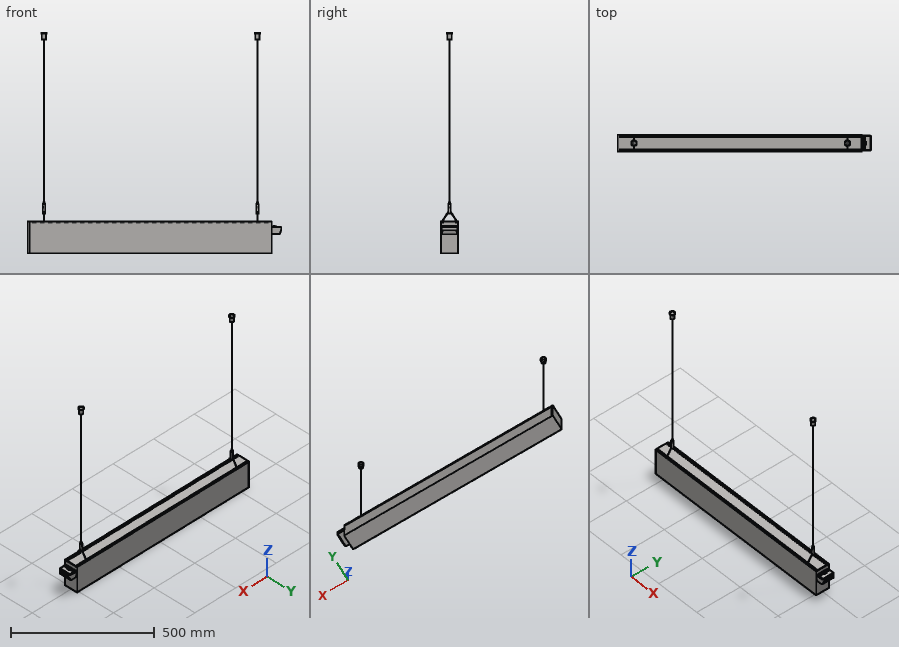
import cadquery as cq
import math

TOTAL_LENGTH = 881.0
TOTAL_HEIGHT = 766.0

HOUSING_LENGTH = 848.0
HOUSING_WIDTH = 60.0
HOUSING_HEIGHT = 111.0
BLANK_CAP_THICKNESS = 6.0
PLUG_CAP_THICKNESS = 3.0
CAP_SETBACK = 0.3

GROOVE_INNER_Y = 21.0
GROOVE_STEP_Y = 24.0
GROOVE_OUTER_Y = 27.0
GROOVE_DEPTH = 4.0
GROOVE_LEDGE_DEPTH = 2.0

CONNECTOR_WIDTH = 54.0
CONNECTOR_BOTTOM_Z = 67.0
CONNECTOR_TOP_Z = 93.0
CONNECTOR_CORNER_RADIUS = 7.0
CONNECTOR_TOP_CHAMFER = 3.1
CONNECTOR_NOSE_SLANT = 5.0
CONNECTOR_NOSE_HEIGHT = 14.0
NECK_START = 3.0
NECK_DEPTH = 1.0
RIDGE_START = 5.0
RIDGE_LENGTH = 6.0
RIDGE_WIDTH = 46.0
RIDGE_HEIGHT = 3.0
RIDGE_CHAMFER = 2.0
LATCH_WIDTH = 11.0
LATCH_REACH = 3.5
LATCH_HEIGHT = 1.3

SUSPENSION_SPACING = 741.5
FIRST_SUSPENSION_X = 56.0
WIRE_DIAMETER = 1.5
CEILING_FLANGE_DIAMETER = 20.0
CEILING_FLANGE_THICKNESS = 3.5
CEILING_CUP_DIAMETER = 16.0
CEILING_CUP_HEIGHT = 24.0
GRIPPER_DIAMETER = 10.0
GRIPPER_BOTTOM_Z = 138.0
GRIPPER_TOP_Z = 173.0
GRIPPER_TOP_CHAMFER = 2.0
GRIPPER_NOZZLE_DIAMETER = 5.0
GRIPPER_NOZZLE_HEIGHT = 5.0
GRIPPER_HOLE_DIAMETER = 3.0
GRIPPER_HOLE_DEPTH = 3.0
GRIPPER_HOLE_Z = 160.0
LEG_TOP_Y = 4.0
LEG_TOP_Z = 143.5
LEG_FOOT_Y = 25.5


def box(x_start, x_end, y_start, y_end, z_start, z_end):
    """Axis-aligned block between the given limits."""
    size = (x_end - x_start, y_end - y_start, z_end - z_start)
    return cq.Workplane("XY").box(*size, centered=False).translate((x_start, y_start, z_start))


def upright_cylinder(x, diameter, z_start, z_end):
    """Vertical cylinder on the centre plane of the lamp."""
    return cq.Workplane("XY", origin=(x, 0, z_start)).circle(diameter / 2).extrude(z_end - z_start)


def housing():
    """Grooved profile closed by a plain cap at each end."""
    half_width = HOUSING_WIDTH / 2
    cap_half_width = half_width - CAP_SETBACK
    profile_end = HOUSING_LENGTH - PLUG_CAP_THICKNESS
    ledge_z = HOUSING_HEIGHT - GROOVE_LEDGE_DEPTH
    floor_z = HOUSING_HEIGHT - GROOVE_DEPTH

    body = box(BLANK_CAP_THICKNESS, profile_end, -half_width, half_width, 0, HOUSING_HEIGHT)
    groove = box(
        BLANK_CAP_THICKNESS, profile_end, GROOVE_INNER_Y, GROOVE_OUTER_Y, ledge_z, HOUSING_HEIGHT
    ).union(box(BLANK_CAP_THICKNESS, profile_end, GROOVE_INNER_Y, GROOVE_STEP_Y, floor_z, ledge_z))
    body = body.cut(groove).cut(groove.mirror("XZ"))

    blank_cap = box(0, BLANK_CAP_THICKNESS, -cap_half_width, cap_half_width, 0, HOUSING_HEIGHT)
    plug_cap = box(
        profile_end, HOUSING_LENGTH, -half_width, half_width, 0, HOUSING_HEIGHT - CAP_SETBACK
    )
    return body.union(blank_cap).union(plug_cap)


def connector():
    """Plug body with a slanted nose; its top carries a shallow neck groove, a ridge and a latch tab."""
    nose_x = TOTAL_LENGTH - CONNECTOR_NOSE_SLANT
    side_outline = [
        (HOUSING_LENGTH, CONNECTOR_BOTTOM_Z),
        (nose_x, CONNECTOR_BOTTOM_Z),
        (TOTAL_LENGTH, CONNECTOR_BOTTOM_Z + CONNECTOR_NOSE_HEIGHT),
        (TOTAL_LENGTH, CONNECTOR_TOP_Z),
        (HOUSING_LENGTH, CONNECTOR_TOP_Z),
    ]
    slanted = cq.Workplane("XZ").polyline(side_outline).close().extrude(CONNECTOR_WIDTH / 2, both=True)
    rounded = (
        box(
            HOUSING_LENGTH, TOTAL_LENGTH, -CONNECTOR_WIDTH / 2, CONNECTOR_WIDTH / 2,
            CONNECTOR_BOTTOM_Z, CONNECTOR_TOP_Z,
        )
        .edges("|Z and >X").fillet(CONNECTOR_CORNER_RADIUS)
        .faces(">Z").edges("not <X").chamfer(CONNECTOR_TOP_CHAMFER)
    )
    plug = rounded.intersect(slanted)

    ridge_x = HOUSING_LENGTH + RIDGE_START
    ridge_end = ridge_x + RIDGE_LENGTH
    ridge = box(
        ridge_x, ridge_end, -RIDGE_WIDTH / 2, RIDGE_WIDTH / 2,
        CONNECTOR_TOP_Z, CONNECTOR_TOP_Z + RIDGE_HEIGHT,
    ).faces(">Z").edges("|Y").chamfer(RIDGE_CHAMFER)
    latch = box(
        ridge_x, ridge_end + LATCH_REACH, -LATCH_WIDTH / 2, LATCH_WIDTH / 2,
        CONNECTOR_TOP_Z, CONNECTOR_TOP_Z + LATCH_HEIGHT,
    )
    neck = box(
        HOUSING_LENGTH + NECK_START, ridge_x, -CONNECTOR_WIDTH / 2, CONNECTOR_WIDTH / 2,
        CONNECTOR_TOP_Z - NECK_DEPTH, CONNECTOR_TOP_Z,
    )
    return plug.cut(neck).union(ridge).union(latch)


def wire_leg(x, side):
    """Sloping wire from inside the gripper down into the groove on one side (+1 or -1)."""
    drop = LEG_TOP_Z - HOUSING_HEIGHT
    spread = LEG_FOOT_Y - LEG_TOP_Y
    slope_length = math.hypot(drop, spread)
    overrun = 2 * WIRE_DIAMETER
    length = slope_length + 2 * overrun
    direction = cq.Vector(0, side * spread / slope_length, -drop / slope_length)
    start = cq.Vector(x, side * LEG_TOP_Y, LEG_TOP_Z) - direction * overrun
    return cq.Workplane(cq.Solid.makeCylinder(WIRE_DIAMETER / 2, length, start, direction))


def gripper(x):
    """Cable gripper with a top nozzle and a small release hole facing -X."""
    barrel = upright_cylinder(x, GRIPPER_DIAMETER, GRIPPER_BOTTOM_Z, GRIPPER_TOP_Z)
    barrel = barrel.faces(">Z").chamfer(GRIPPER_TOP_CHAMFER)
    nozzle = upright_cylinder(
        x, GRIPPER_NOZZLE_DIAMETER, GRIPPER_TOP_Z, GRIPPER_TOP_Z + GRIPPER_NOZZLE_HEIGHT
    )
    release_hole = (
        cq.Workplane("YZ", origin=(x - GRIPPER_DIAMETER / 2, 0, GRIPPER_HOLE_Z))
        .circle(GRIPPER_HOLE_DIAMETER / 2)
        .extrude(GRIPPER_HOLE_DEPTH)
    )
    return barrel.union(nozzle).cut(release_hole)


def suspension(x):
    """Ceiling cup, vertical wire, gripper and the two legs that carry the housing."""
    cup_bottom_z = TOTAL_HEIGHT - CEILING_CUP_HEIGHT
    flange_bottom_z = TOTAL_HEIGHT - CEILING_FLANGE_THICKNESS
    nozzle_top_z = GRIPPER_TOP_Z + GRIPPER_NOZZLE_HEIGHT
    flange = upright_cylinder(x, CEILING_FLANGE_DIAMETER, flange_bottom_z, TOTAL_HEIGHT)
    cup = upright_cylinder(x, CEILING_CUP_DIAMETER, cup_bottom_z, flange_bottom_z)
    wire = upright_cylinder(x, WIRE_DIAMETER, nozzle_top_z, cup_bottom_z)
    assembly = flange.union(cup).union(wire).union(gripper(x))
    for side in (-1, 1):
        assembly = assembly.union(wire_leg(x, side))
    return assembly


result = housing().union(connector())
for suspension_x in (FIRST_SUSPENSION_X, FIRST_SUSPENSION_X + SUSPENSION_SPACING):
    result = result.union(suspension(suspension_x))